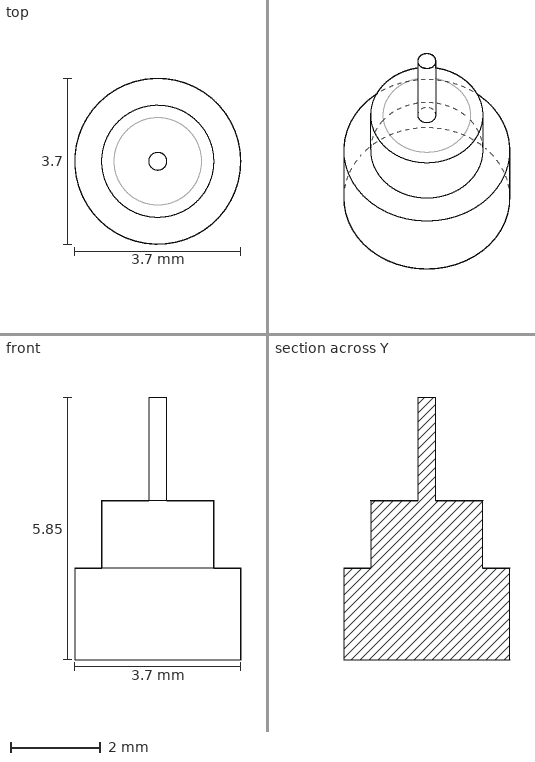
import cadquery as cq

BASE_DIAMETER = 3.7
BASE_HEIGHT = 2.05
COLLAR_DIAMETER = 2.5
COLLAR_HEIGHT = 1.5
CORE_DIAMETER = 1.95
PIN_DIAMETER = 0.4
PIN_LENGTH = 2.3

collar_bottom = BASE_HEIGHT
collar_top = collar_bottom + COLLAR_HEIGHT


def cylinder(diameter, bottom, height):
    """Upright cylinder centred on the Z axis."""
    return cq.Workplane("XY").workplane(offset=bottom).circle(diameter / 2).extrude(height)


def collar_sleeve():
    """Collar wall around the core."""
    collar = cylinder(COLLAR_DIAMETER, collar_bottom, COLLAR_HEIGHT)
    return collar.cut(cylinder(CORE_DIAMETER, collar_bottom, COLLAR_HEIGHT))


base = cylinder(BASE_DIAMETER, 0, BASE_HEIGHT)
core = cylinder(CORE_DIAMETER, collar_bottom, COLLAR_HEIGHT)
pin = cylinder(PIN_DIAMETER, collar_top, PIN_LENGTH)

result = base
for section in (collar_sleeve(), core, pin):
    result = result.union(section, clean=False)